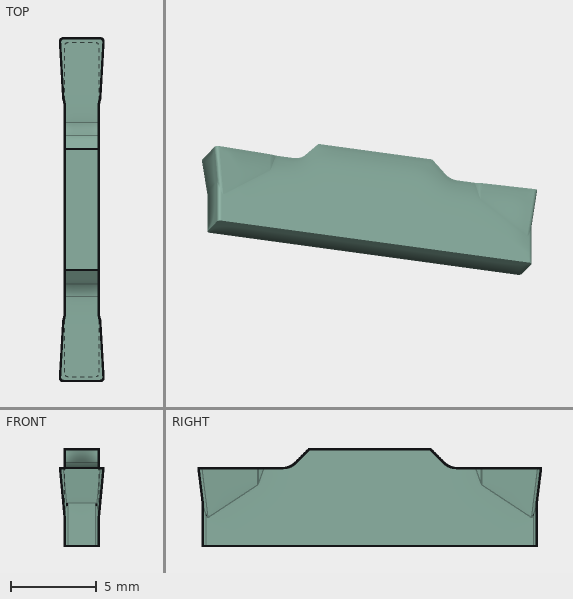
import cadquery as cq
import math

body_width = 2.0
body_length = 19.45
seat_height = 4.55
ridge_height = 5.65
ridge_top_length = 7.05
ridge_slope = math.radians(45)
ridge_foot_radius = 1.05
corner_radius = 0.2

overall_length = 19.95
head_corner_width = 2.57
head_shoulder_width = 2.17
shoulder_y = 6.5
shoulder_foot_y = 6.15
shoulder_radius = 0.4
front_relief = math.radians(7)
side_relief = math.radians(5)
head_bottom = 1.0


def make_body():
    """Extruded side profile with rounded vertical end corners."""
    half_length = body_length / 2
    half_ridge = ridge_top_length / 2
    foot_y = half_ridge + (ridge_height - seat_height) / math.tan(ridge_slope)
    tangent = ridge_foot_radius * math.tan(ridge_slope / 2)

    seat_end_y = foot_y + tangent
    middle_y = seat_end_y - ridge_foot_radius * math.sin(ridge_slope / 2)
    middle_z = seat_height + ridge_foot_radius * (1 - math.cos(ridge_slope / 2))
    slope_end_y = foot_y - tangent * math.cos(ridge_slope)
    slope_end_z = seat_height + tangent * math.sin(ridge_slope)

    profile = (
        cq.Workplane("YZ")
        .moveTo(-half_length, 0)
        .lineTo(half_length, 0)
        .lineTo(half_length, seat_height)
        .lineTo(seat_end_y, seat_height)
        .threePointArc((middle_y, middle_z), (slope_end_y, slope_end_z))
        .lineTo(half_ridge, ridge_height)
        .lineTo(-half_ridge, ridge_height)
        .lineTo(-slope_end_y, slope_end_z)
        .threePointArc((-middle_y, middle_z), (-seat_end_y, seat_height))
        .lineTo(-half_length, seat_height)
        .close()
    )
    bar = profile.extrude(body_width / 2, both=True)
    return bar.edges("|Z and (<Y or >Y)").fillet(corner_radius)


def head_outline(depth):
    """Plan outline of the +Y head at a depth below the seat."""
    side_inset = depth * math.tan(side_relief)
    front_y = overall_length / 2 - depth * math.tan(front_relief)
    corner_slope = (head_corner_width - head_shoulder_width) / (overall_length - 2 * shoulder_y)
    foot_x = body_width / 2 - side_inset
    shoulder_x = head_shoulder_width / 2 - side_inset
    front_x = shoulder_x + corner_slope * (front_y - shoulder_y)
    right_side = [(foot_x, shoulder_foot_y), (shoulder_x, shoulder_y), (front_x, front_y)]
    left_side = [(-x, y) for x, y in reversed(right_side)]
    return right_side + left_side


def edges_between(near_y, far_y):
    """Selector for the slanted side edges whose middles lie between two Y positions."""
    margin = (seat_height - head_bottom) / 4
    return cq.selectors.BoxSelector(
        (-body_width, near_y, head_bottom + margin),
        (body_width, far_y, seat_height - margin),
    )


def make_head():
    """Tapered +Y cutting head with rounded end corners and shoulder edges."""
    depth = seat_height - head_bottom
    head = (
        cq.Workplane("XY", origin=(0, 0, seat_height))
        .polyline(head_outline(0)).close()
        .workplane(offset=-depth)
        .polyline(head_outline(depth)).close()
        .loft(ruled=True)
    )
    head_middle_y = (shoulder_y + overall_length / 2) / 2
    shoulder_start_y = (shoulder_foot_y + shoulder_y) / 2
    head = head.edges(edges_between(head_middle_y, overall_length)).fillet(corner_radius)
    return head.edges(edges_between(shoulder_start_y, head_middle_y)).fillet(shoulder_radius)


head = make_head()
result = make_body().union(head).union(head.mirror("XZ"))